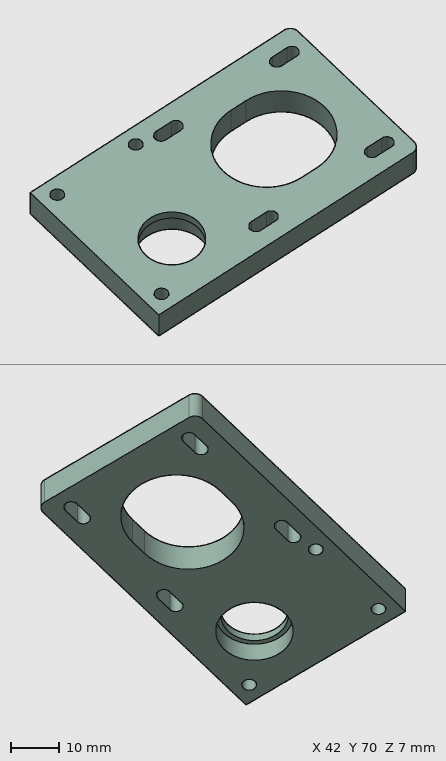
import cadquery as cq

width = 42.0
length = 70.0
thickness = 7.0
corner_radius = 2.0

motor_x = width / 2
motor_y = 48.0
travel = 4.0
motor_bore = 23.0
slot_width = 3.0
slot_pitch = 31.0

bearing_x = 28.0
bearing_y = 15.0
bearing_bore = 16.0
lip_bore = 14.0
lip_height = 2.0

hole_diameter = 3.0
hole_inset = 4.0
upper_hole_y = 25.0


def make_plate():
    plate = cq.Workplane("XY").box(width, length, thickness, centered=False)
    return plate.edges("|Z and >Y").fillet(corner_radius)


def through_slots(centers, slot_diameter):
    """Round-ended cutters along Y whose end centres are one travel apart."""
    return (
        cq.Workplane("XY")
        .pushPoints(centers)
        .slot2D(travel + slot_diameter, slot_diameter, 90)
        .extrude(thickness)
    )


def through_holes(centers, diameter):
    return cq.Workplane("XY").pushPoints(centers).circle(diameter / 2).extrude(thickness)


def bearing_seat():
    center = [(bearing_x, bearing_y)]
    seat_depth = thickness - lip_height
    seat = cq.Workplane("XY").pushPoints(center).circle(bearing_bore / 2).extrude(seat_depth)
    return seat.union(through_holes(center, lip_bore))


slot_centers = [
    (motor_x + side * slot_pitch / 2, motor_y + end * slot_pitch / 2)
    for side in (-1, 1)
    for end in (-1, 1)
]
hole_centers = [
    (hole_inset, hole_inset),
    (width - hole_inset, hole_inset),
    (hole_inset, upper_hole_y),
]

result = (
    make_plate()
    .cut(through_slots([(motor_x, motor_y)], motor_bore))
    .cut(through_slots(slot_centers, slot_width))
    .cut(bearing_seat())
    .cut(through_holes(hole_centers, hole_diameter))
)